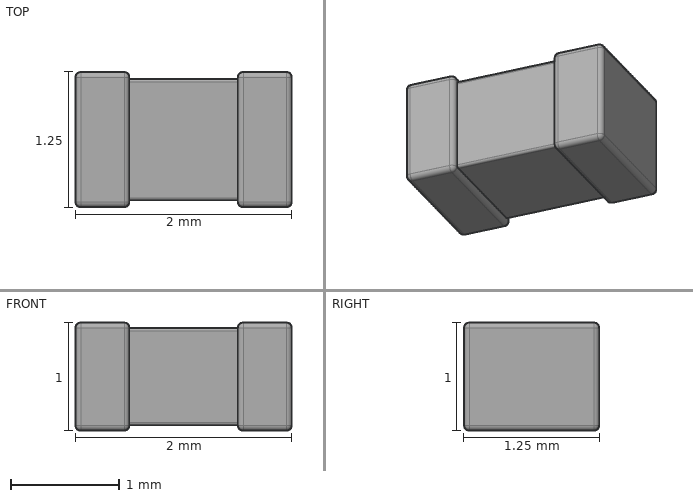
import cadquery as cq

length = 2.0
width = 1.25
height = 1.0

cap_length = length / 4
cap_fillet = 0.05

body_width = 1.125
body_height = height - 2 * cap_fillet
body_fillet = 0.025


def make_body():
    """Bar with rounded long edges, ending at the middle of each cap."""
    body_length = length - cap_length
    return cq.Workplane("XY").box(body_length, body_width, body_height).edges("|X").fillet(body_fillet)


def make_cap(side):
    """Block rounded on every edge at the -X (side = -1) or +X (side = 1) end."""
    center_x = side * (length - cap_length) / 2
    cap = cq.Workplane("XY").box(cap_length, width, height).edges().fillet(cap_fillet)
    return cap.translate((center_x, 0, 0))


result = make_body()
for side in (-1, 1):
    result = result.union(make_cap(side))